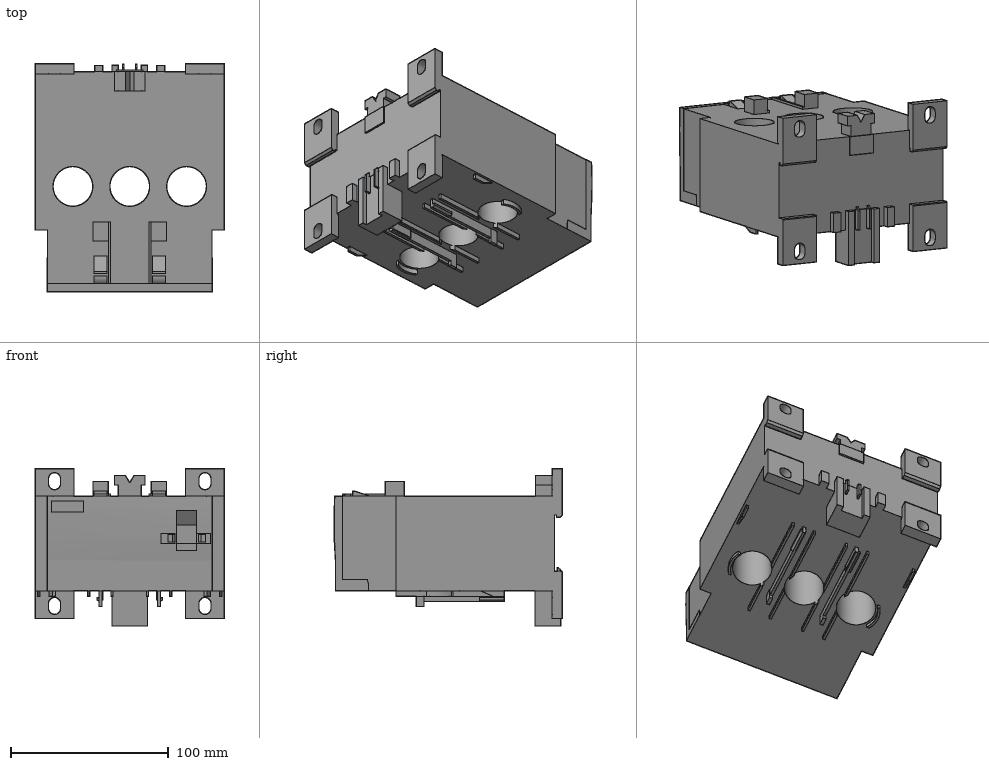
import cadquery as cq
import math


total_width = 120.0
total_depth = 144.7
body_height = 60.0
body_back = 5.0
shoulder_depth = 105.5
nose_width = 104.4
overlap = 1.0

cover_step = 0.1
cover_back = 139.4
cover_foot_back = 123.6
cover_foot_heel = 123.0
cover_heel_height = 4.7
cover_foot_height = 7.1
crown_height = 43.9
crown_radius = 375.0
crown_bottom = 19.2

tab_width = 24.7
tab_thickness = 6.5
tab_reach = 17.5
slot_width = 7.5
slot_length = 10.6
slot_to_end = 8.0
rail_bottom = 12.5
rail_top = 48.0
lip_drop = 1.4
lip_start = 1.5
lip_end = 3.9
lower_tab_chamfer = 0.6

hole_diameter = 25.0
hole_pitch = 36.0
hole_depth_position = 77.8

label_x = (-49.7, -29.2)
label_z = (50.0, 57.1)
label_recess = 0.5
pocket_x = (29.7, 42.4)
pocket_top = 51.2
pocket_bottom = 25.5
pocket_roof_end = 41.9
pocket_depth = 4.8
lever_top = 30.0
lever_recess = 3.6
grip_left_x = (19.8, 28.8)
grip_right_x = (pocket_x[1], 51.3)
grip_z = (30.0, 36.5)
grip_recess = 1.2
bump_root = 0.2
grip_bump_z = (31.0, 35.9)
grip_ramp_foot = 7.3
grip_bump_inner = 8.95
grip_bump_outer = 11.85

terminal_x = (13.5, 23.4)
terminal_depth = (100.2, 112.4)
terminal_top = 69.4
rib_x = (12.1, 13.5)
rib_top = 61.5
latch_x = (14.5, 22.8)
latch_start = 121.9
latch_crest = (131.6, 132.9)
latch_top = 63.3
catch_start = 134.4
catch_top = 61.3

coding_head_width = 19.4
coding_neck_width = 14.8
coding_front = 17.2
coding_top = 73.2
coding_head_bottom = 67.0
vee_width = 5.4
vee_bottom = 68.6
backing_width = 17.0
backing_depth = 4.0

slide_width = 22.8
slide_back = 1.0
slide_front = 17.4
slide_bottom = -22.25
slide_groove_width = 14.4
hook_x = (3.5, 4.7)
hook_foot = 0.4
hook_peak = (2.6, 3.4)
hook_top = 14.8
pad_x = (17.0, 22.3)
pad_back = 1.1

skirt_bottom = -3.4
skirt_depth = (36.8, shoulder_depth)
gusset_x = (57.0, 58.5)
gusset_depth = (44.0, 51.8)
full_rib_positions = ((25.2, 26.7), (10.5, 11.9))
collar_radius = 15.3
collar_wall = 1.5
collar_depth = (70.2, 86.2)
blade_x = (17.5, 19.2)
blade_bottom = -6.7
blade_depth = (skirt_depth[0], 87.6)
blade_tip_x = (17.5, 19.6)
blade_tip_depth = 92.7
blade_tip_bottom = -10.0
brace_x = (17.1, 18.7)
brace_bottom = -5.6
brace_end = 52.4
foot_outer = 20.8
foot_z = (-5.6, -4.3)


def block(x_range, depth_range, z_range):
    """Axis-aligned box from ranges of X, depth and Z."""
    size_x = x_range[1] - x_range[0]
    size_y = depth_range[1] - depth_range[0]
    size_z = z_range[1] - z_range[0]
    corner = (x_range[0], -depth_range[1], z_range[0])
    return cq.Workplane("XY").box(size_x, size_y, size_z, centered=False).translate(corner)


def centred(width):
    return (-width / 2, width / 2)


def side_profile(points, x_range):
    """Extrude an outline of (depth, z) points over a range of X."""
    outline = [(-depth, z) for depth, z in points]
    plane = cq.Workplane("YZ", origin=(x_range[0], 0, 0))
    return plane.polyline(outline).close().extrude(x_range[1] - x_range[0])


def both_sides(shape):
    """The shape together with its mirror image across X = 0."""
    return shape.union(shape.mirror("YZ"))


def make_housing():
    full_height = (0, body_height)
    rear = block(centred(total_width), (body_back, shoulder_depth), full_height)
    nose = block(centred(nose_width), (shoulder_depth - overlap, cover_back), full_height)
    return rear.union(nose)


def crown_depth(z):
    """Depth of the curved front surface at height z."""
    fall = crown_radius - math.sqrt(crown_radius**2 - (z - crown_height) ** 2)
    return total_depth - fall


def make_cover():
    width = nose_width + 2 * cover_step
    top = body_height + cover_step
    front_depth_bottom = crown_depth(crown_bottom)
    return (
        cq.Workplane("YZ", origin=(-width / 2, 0, 0))
        .moveTo(-cover_back, top)
        .lineTo(-crown_depth(top), top)
        .threePointArc((-total_depth, crown_height), (-front_depth_bottom, crown_bottom))
        .lineTo(-front_depth_bottom, 0)
        .lineTo(-cover_foot_heel, 0)
        .lineTo(-cover_foot_heel, cover_heel_height)
        .lineTo(-cover_foot_back, cover_foot_height)
        .lineTo(-cover_back, cover_foot_height)
        .close()
        .extrude(width)
    )


def make_tabs():
    x_range = (total_width / 2 - tab_width, total_width / 2)
    x_middle = sum(x_range) / 2
    top = body_height + tab_reach
    bottom = -tab_reach
    upper = side_profile(
        [
            (0, top),
            (tab_thickness, top),
            (tab_thickness, rail_top),
            (lip_end, rail_top),
            (lip_end, rail_top - lip_drop),
            (lip_start, rail_top - lip_drop),
            (0, rail_top),
        ],
        x_range,
    )
    lower = side_profile(
        [
            (0, bottom),
            (tab_thickness, bottom),
            (tab_thickness, rail_bottom),
            (lower_tab_chamfer, rail_bottom),
            (0, rail_bottom - lower_tab_chamfer),
        ],
        x_range,
    )
    slots = (
        cq.Workplane("XZ")
        .pushPoints([(x_middle, top - slot_to_end), (x_middle, bottom + slot_to_end)])
        .slot2D(slot_length, slot_width, 90)
        .extrude(tab_thickness)
    )
    return both_sides(upper.union(lower).cut(slots))


def make_terminals():
    sunk = body_height - overlap
    terminal = block(terminal_x, terminal_depth, (sunk, terminal_top))
    rib = block(rib_x, (terminal_depth[0], cover_back), (sunk, rib_top))
    latch = side_profile(
        [
            (latch_start, body_height),
            (latch_crest[0], latch_top),
            (latch_crest[1], latch_top),
            (latch_crest[1], sunk),
            (latch_start, sunk),
        ],
        latch_x,
    )
    arc_share = math.sqrt(0.5)
    catch_length = cover_back - catch_start
    catch_rise = catch_top - body_height
    arc_middle = (-catch_start - catch_length * arc_share, body_height + catch_rise * arc_share)
    catch = (
        cq.Workplane("YZ", origin=(latch_x[0], 0, 0))
        .moveTo(-catch_start, sunk)
        .lineTo(-catch_start, catch_top)
        .threePointArc(arc_middle, (-cover_back, body_height))
        .lineTo(-cover_back, sunk)
        .close()
        .extrude(latch_x[1] - latch_x[0])
    )
    return both_sides(terminal.union(rib).union(latch).union(catch))


def make_coding_block():
    depth_range = (body_back, coding_front)
    head = block(centred(coding_head_width), depth_range, (coding_head_bottom, coding_top))
    neck = block(centred(coding_neck_width), depth_range, (body_height - overlap, coding_head_bottom))
    vee = (
        cq.Workplane("XZ")
        .polyline([(-vee_width / 2, coding_top), (vee_width / 2, coding_top), (0, vee_bottom)])
        .close()
        .extrude(coding_front)
    )
    backing = block(centred(backing_width), (backing_depth, body_back + overlap), (rail_top, body_height))
    return head.union(neck).cut(vee).union(backing)


def make_rail_slide():
    slide = block(centred(slide_width), (slide_back, slide_front), (slide_bottom, rail_bottom))
    groove = block(centred(slide_groove_width), (slide_back, backing_depth), (slide_bottom, rail_bottom))
    pad = block(pad_x, (pad_back, body_back + overlap), (0, rail_bottom))
    hook = side_profile(
        [
            (hook_foot, 0),
            (hook_foot, rail_bottom),
            (hook_peak[0], hook_top),
            (hook_peak[1], hook_top),
            (hook_peak[1], rail_bottom),
            (backing_depth + overlap, rail_bottom),
            (backing_depth + overlap, 0),
        ],
        hook_x,
    )
    return slide.cut(groove).union(both_sides(pad.union(hook)))


def make_underside():
    skirt_z = (skirt_bottom, overlap)
    ribs = side_profile(
        [
            (skirt_depth[0], overlap),
            (skirt_depth[0], skirt_bottom),
            (gusset_depth[0], skirt_bottom),
            (gusset_depth[1], 0),
            (gusset_depth[1], overlap),
        ],
        gusset_x,
    )
    for rib_range in full_rib_positions:
        ribs = ribs.union(block(rib_range, skirt_depth, skirt_z))

    collar = (
        cq.Workplane("XY", origin=(hole_pitch, -hole_depth_position, skirt_bottom))
        .circle(collar_radius)
        .circle(collar_radius - collar_wall)
        .extrude(overlap - skirt_bottom)
        .intersect(block((hole_pitch, total_width / 2), collar_depth, skirt_z))
    )
    blade = block(blade_x, blade_depth, (blade_bottom, overlap))
    tip = block(blade_tip_x, (blade_depth[1], blade_tip_depth), (blade_tip_bottom, overlap))
    brace_range = (blade_depth[0], brace_end)
    brace = block(brace_x, brace_range, (brace_bottom, overlap))
    foot = (
        cq.Workplane("XZ", origin=(0, -blade_depth[0], 0))
        .moveTo(blade_x[1], foot_z[1])
        .lineTo(foot_outer, foot_z[1])
        .lineTo(foot_outer, foot_z[0])
        .lineTo(blade_x[1], blade_bottom)
        .close()
        .extrude(brace_end - blade_depth[0])
    )
    return both_sides(ribs.union(collar).union(blade).union(tip).union(brace).union(foot))


def cut_conductor_holes(part):
    holes = (
        cq.Workplane("XY", origin=(0, -hole_depth_position, skirt_bottom))
        .pushPoints([(-hole_pitch, 0), (0, 0), (hole_pitch, 0)])
        .circle(hole_diameter / 2)
        .extrude(body_height - skirt_bottom)
    )
    return part.cut(holes)


def cut_label(part):
    return part.cut(block(label_x, (crown_depth(label_z[1]) - label_recess, total_depth), label_z))


def cut_lever_pocket(part):
    back_wall = total_depth - pocket_depth
    lever_face = total_depth - lever_recess
    pocket = side_profile(
        [
            (total_depth, pocket_top),
            (back_wall, pocket_roof_end),
            (back_wall, lever_top),
            (lever_face, lever_top),
            (lever_face, pocket_bottom),
            (total_depth, pocket_bottom),
        ],
        pocket_x,
    )
    return part.cut(pocket)


def cut_finger_grips(part):
    floor = total_depth - grip_recess
    bump_base = floor - bump_root
    centre = sum(pocket_x) / 2
    for side, x_range in ((-1, grip_left_x), (1, grip_right_x)):
        recess = block(x_range, (floor, total_depth), grip_z)
        bump_outline = [
            (centre + side * grip_ramp_foot, -bump_base),
            (centre + side * grip_bump_inner, -total_depth),
            (centre + side * grip_bump_outer, -total_depth),
            (centre + side * grip_bump_outer, -bump_base),
        ]
        bump = (
            cq.Workplane("XY", origin=(0, 0, grip_bump_z[0]))
            .polyline(bump_outline)
            .close()
            .extrude(grip_bump_z[1] - grip_bump_z[0])
        )
        part = part.cut(recess).union(bump)
    return part


result = make_housing()
for make_piece in (
    make_cover,
    make_tabs,
    make_terminals,
    make_coding_block,
    make_rail_slide,
    make_underside,
):
    result = result.union(make_piece())
for cut_feature in (cut_conductor_holes, cut_label, cut_lever_pocket, cut_finger_grips):
    result = cut_feature(result)